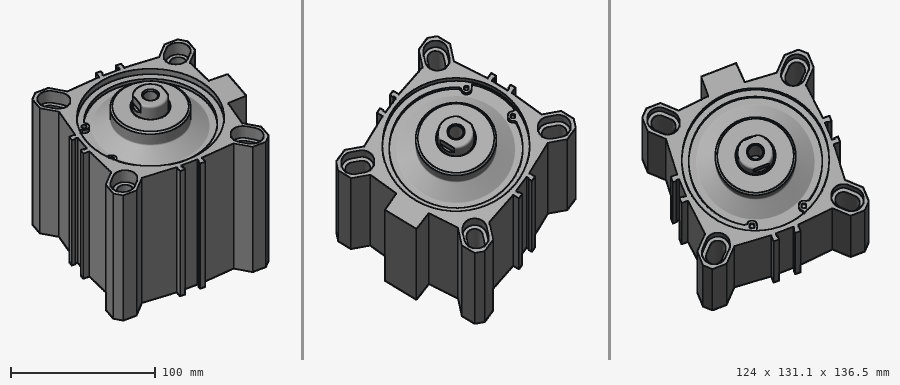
import cadquery as cq
import math

HOUSING_HEIGHT = 115.8
LUG_REACH = 62.0
LUG_CORNER = 56.9
LUG_FLAT_START = 46.3
FLANK_DEPTH = 9.7
WALL_REACH = 54.5
WALL_ROOT = 53.1

RAIL_OUTER = 10.1
RAIL_LIP = 6.0
RAIL_NECK = 6.5
RAIL_REACH = 59.2
NECK_HEIGHT = 2.0

PORT_REACH = 69.1
PORT_HALF_WIDTH = 13.1
PORT_ROOT_HALF_WIDTH = 13.6

SLOT_OFFSET = 49.1
SLOT_TRAVEL = 6.0
SLOT_WIDTH = 11.5
COUNTERBORE_WIDTH = 17.2
COUNTERBORE_DEPTH = 10.9

RECESS_DIAMETER = 102.2
GROOVE_DIAMETER = 106.2
RING_TOP = 110.7
RING_THICKNESS = 3.0
RING_BOTTOM = RING_TOP - RING_THICKNESS
HEAD_HEIGHT = 20.0
RECESS_FLOOR = RING_BOTTOM - HEAD_HEIGHT

RING_INNER_DIAMETER = 92.7
RING_GAP_HALF_ANGLE = 20.8
EAR_DIAMETER = 7.4
EAR_HOLE_DIAMETER = 3.5
EAR_X = 19.4
EAR_Y = -42.0
EAR_ROOT_X = 24.6
EAR_SHOULDER = 2.5

HEAD_DIAMETER = 101.7
CONE_BASE_DIAMETER = 82.0
CONE_TOP = 114.8
CONE_FILLET = 1.0
EDGE_MARGIN = 0.1
COLLAR_DIAMETER = 56.0
COLLAR_TOP = 126.0
COLLAR_CHAMFER_HEIGHT = 1.2
COLLAR_CHAMFER_WIDTH = 1.5
ROD_HOLE_DIAMETER = 25.7
WIPER_SEAT_DIAMETER = 26.9
WIPER_SEAT_DEPTH = 2.0
WIPER_SEAT_MOUTH_DIAMETER = 28.0
WIPER_SEAT_CHAMFER = (WIPER_SEAT_MOUTH_DIAMETER - WIPER_SEAT_DIAMETER) / 2

ROD_DIAMETER = 25.0
ROD_TOP = 136.5
ROD_EDGE_FILLET = 1.6
ACROSS_FLATS = 22.0
FLAT_BOTTOM = 129.5
TAPPED_HOLE_DIAMETER = 10.1
TAPPED_HOLE_MOUTH_DIAMETER = 12.0
TAPPED_HOLE_DEPTH = 30.0
DRILL_POINT_ANGLE = 118.0


def disc(diameter, bottom, top):
    """A cylinder on the Z axis between two heights."""
    return cq.Workplane("XY").workplane(offset=bottom).circle(diameter / 2).extrude(top - bottom)


def lug_slot(width, x_side, y_side, bottom):
    """A slot along the lug's diagonal, open at the housing top."""
    return (
        cq.Workplane("XY")
        .workplane(offset=bottom)
        .center(x_side * SLOT_OFFSET, y_side * SLOT_OFFSET)
        .slot2D(SLOT_TRAVEL + width, width, 45 * x_side * y_side)
        .extrude(HOUSING_HEIGHT - bottom)
    )


def quarter_outline():
    """Outline of one wall half, its lug and the next wall half, from the +X wall to the +Y wall."""
    flank_end_far = LUG_REACH - FLANK_DEPTH
    flank_end_near = LUG_FLAT_START - FLANK_DEPTH
    half = [
        (WALL_REACH, RAIL_OUTER),
        (flank_end_far, flank_end_near),
        (LUG_REACH, LUG_FLAT_START),
        (LUG_REACH, LUG_CORNER),
    ]
    return half + [(y, x) for x, y in reversed(half)]


def make_rail(side):
    """One hooked rail on the +X wall; side is +1 or -1 along Y."""
    outline = [
        (WALL_ROOT, RAIL_OUTER),
        (RAIL_REACH, RAIL_OUTER),
        (RAIL_REACH, RAIL_LIP),
        (WALL_REACH + NECK_HEIGHT, RAIL_LIP),
        (WALL_REACH + NECK_HEIGHT, RAIL_NECK),
        (WALL_ROOT, RAIL_NECK),
    ]
    return cq.Workplane("XY").polyline([(x, side * y) for x, y in outline]).close().extrude(HOUSING_HEIGHT)


def make_housing():
    corners = []
    for cosine, sine in ((1, 0), (0, 1), (-1, 0), (0, -1)):
        corners += [(cosine * x - sine * y, sine * x + cosine * y) for x, y in quarter_outline()]
    housing = cq.Workplane("XY").polyline(corners).close().extrude(HOUSING_HEIGHT)

    for wall_angle in (0, 180, 270):
        for side in (1, -1):
            rail = make_rail(side).rotate((0, 0, 0), (0, 0, 1), wall_angle)
            housing = housing.union(rail)

    port_block = (
        cq.Workplane("XY")
        .polyline([
            (-PORT_ROOT_HALF_WIDTH, WALL_ROOT),
            (PORT_ROOT_HALF_WIDTH, WALL_ROOT),
            (PORT_HALF_WIDTH, PORT_REACH),
            (-PORT_HALF_WIDTH, PORT_REACH),
        ])
        .close()
        .extrude(HOUSING_HEIGHT)
    )
    housing = housing.union(port_block)

    for x_side in (1, -1):
        for y_side in (1, -1):
            housing = housing.cut(lug_slot(SLOT_WIDTH, x_side, y_side, 0))
            counterbore_floor = HOUSING_HEIGHT - COUNTERBORE_DEPTH
            housing = housing.cut(lug_slot(COUNTERBORE_WIDTH, x_side, y_side, counterbore_floor))

    housing = housing.cut(disc(RECESS_DIAMETER, RECESS_FLOOR, HOUSING_HEIGHT))
    return housing.cut(disc(GROOVE_DIAMETER, RING_BOTTOM, RING_TOP))


def make_head():
    """Flanged head with a conical shoulder and a collar around the rod."""
    collar_radius = COLLAR_DIAMETER / 2
    profile = [
        (0, RECESS_FLOOR),
        (HEAD_DIAMETER / 2, RECESS_FLOOR),
        (HEAD_DIAMETER / 2, RING_BOTTOM),
        (CONE_BASE_DIAMETER / 2, RING_BOTTOM),
        (collar_radius, CONE_TOP),
        (collar_radius, COLLAR_TOP - COLLAR_CHAMFER_HEIGHT),
        (collar_radius - COLLAR_CHAMFER_WIDTH, COLLAR_TOP),
        (0, COLLAR_TOP),
    ]
    head = cq.Workplane("XZ").polyline(profile).close().revolve(360, (0, 0, 0), (0, 1, 0))
    for diameter, height in ((CONE_BASE_DIAMETER, RING_BOTTOM), (COLLAR_DIAMETER, CONE_TOP)):
        reach = diameter / 2 + EDGE_MARGIN
        cone_edge = cq.selectors.BoxSelector(
            (-reach, -reach, height - EDGE_MARGIN),
            (reach, reach, height + EDGE_MARGIN),
            boundingbox=True,
        )
        head = head.edges(cone_edge).fillet(CONE_FILLET)

    head = head.cut(disc(ROD_HOLE_DIAMETER, RECESS_FLOOR, COLLAR_TOP))
    head = head.cut(disc(WIPER_SEAT_DIAMETER, COLLAR_TOP - WIPER_SEAT_DEPTH, COLLAR_TOP))
    mouth_cone = cq.Solid.makeCone(
        WIPER_SEAT_DIAMETER / 2,
        WIPER_SEAT_MOUTH_DIAMETER / 2,
        WIPER_SEAT_CHAMFER,
        pnt=cq.Vector(0, 0, COLLAR_TOP - WIPER_SEAT_CHAMFER),
    )
    return head.cut(cq.Workplane(mouth_cone))


def make_retaining_ring():
    """Open ring in the housing groove, with an eyed ear at each end."""
    ring = disc(GROOVE_DIAMETER, RING_BOTTOM, RING_TOP)
    ring = ring.cut(disc(RING_INNER_DIAMETER, RING_BOTTOM, RING_TOP))

    gap_half_width = GROOVE_DIAMETER * math.tan(math.radians(RING_GAP_HALF_ANGLE))
    plane = cq.Workplane("XY").workplane(offset=RING_BOTTOM)
    gap = (
        plane.polyline([(0, 0), (gap_half_width, -GROOVE_DIAMETER), (-gap_half_width, -GROOVE_DIAMETER)])
        .close()
        .extrude(RING_THICKNESS)
    )
    ring = ring.cut(gap)

    for side in (1, -1):
        eye = plane.center(side * EAR_X, EAR_Y)
        shoulder = (
            plane.moveTo(side * EAR_X, EAR_Y)
            .lineTo(side * EAR_X, EAR_Y + EAR_SHOULDER)
            .lineTo(side * EAR_ROOT_X, EAR_Y + EAR_SHOULDER)
            .lineTo(side * EAR_ROOT_X, EAR_Y)
            .close()
            .extrude(RING_THICKNESS)
        )
        ring = ring.union(eye.circle(EAR_DIAMETER / 2).extrude(RING_THICKNESS)).union(shoulder)
        ring = ring.cut(eye.circle(EAR_HOLE_DIAMETER / 2).extrude(RING_THICKNESS))
    return ring


def make_rod():
    """Rod with two wrench flats and a drilled hole in its end."""
    rod = disc(ROD_DIAMETER, RECESS_FLOOR, ROD_TOP).faces(">Z").edges().fillet(ROD_EDGE_FILLET)

    flat_y = ACROSS_FLATS / 2
    run_out = ROD_DIAMETER / 2 - flat_y
    for side in (1, -1):
        flat_cut = (
            cq.Workplane("YZ")
            .polyline([
                (side * flat_y, ROD_TOP),
                (side * flat_y, FLAT_BOTTOM),
                (side * (flat_y + 2 * run_out), FLAT_BOTTOM - 2 * run_out),
                (side * (flat_y + 2 * run_out), ROD_TOP),
            ])
            .close()
            .extrude(ROD_DIAMETER / 2, both=True)
        )
        rod = rod.cut(flat_cut)

    hole_radius = TAPPED_HOLE_DIAMETER / 2
    mouth_radius = TAPPED_HOLE_MOUTH_DIAMETER / 2
    mouth_depth = mouth_radius - hole_radius
    point_depth = hole_radius / math.tan(math.radians(DRILL_POINT_ANGLE / 2))
    hole_bottom = ROD_TOP - TAPPED_HOLE_DEPTH
    hole = (
        cq.Workplane("XZ")
        .polyline([
            (0, ROD_TOP),
            (mouth_radius, ROD_TOP),
            (hole_radius, ROD_TOP - mouth_depth),
            (hole_radius, hole_bottom),
            (0, hole_bottom - point_depth),
        ])
        .close()
        .revolve(360, (0, 0, 0), (0, 1, 0))
    )
    return rod.cut(hole)


housing = make_housing()
head = make_head()
retaining_ring = make_retaining_ring()
rod = make_rod()

result = cq.Compound.makeCompound([housing.val(), head.val(), retaining_ring.val(), rod.val()])